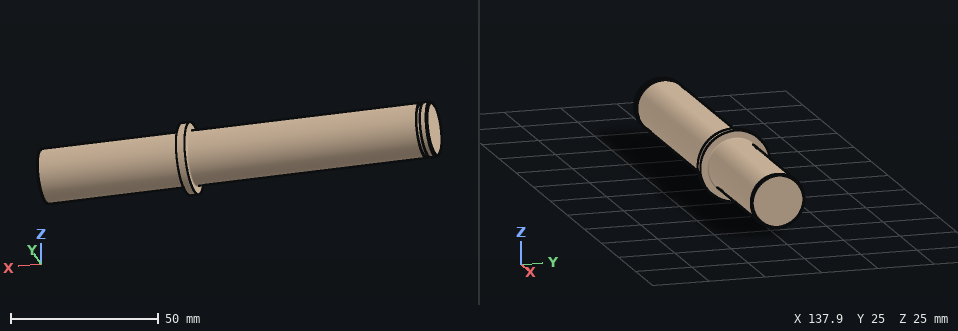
import cadquery as cq

length = 137.9
shaft_diameter = 19.0
collar_diameter = 25.0
collar_width = 3.0
collar_to_right_end = 50.0
end_chamfer = 0.5
collar_fillet = 0.5

groove_diameter = 18.0
groove_width = 1.3
groove_from_left_end = 2.6

left_end = -length / 2
right_end = length / 2
collar_end = right_end - collar_to_right_end
collar_start = collar_end - collar_width
groove_start = left_end + groove_from_left_end


def disc(start, width, diameter):
    """Solid cylinder along X, beginning at the given X position."""
    return cq.Workplane("YZ", origin=(start, 0, 0)).circle(diameter / 2).extrude(width)


def chamfered_shaft():
    """Plain shaft with both end rims chamfered."""
    return disc(left_end, length, shaft_diameter).faces("<X or >X").chamfer(end_chamfer)


def add_collar(shaft):
    """Add the collar and fillet the corners where it meets the shaft."""
    collar = disc(collar_start, collar_width, collar_diameter)
    reach = shaft_diameter / 2 + collar_fillet
    corner_box = cq.selectors.BoxSelector(
        (collar_start - collar_fillet, -reach, -reach),
        (collar_end + collar_fillet, reach, reach),
        boundingbox=True,
    )
    return shaft.union(collar).edges("%CIRCLE").edges(corner_box).fillet(collar_fillet)


def ring_groove():
    """Ring of material removed by the retaining ring groove."""
    outer = disc(groove_start, groove_width, shaft_diameter)
    return outer.cut(disc(groove_start, groove_width, groove_diameter))


result = add_collar(chamfered_shaft()).cut(ring_groove())